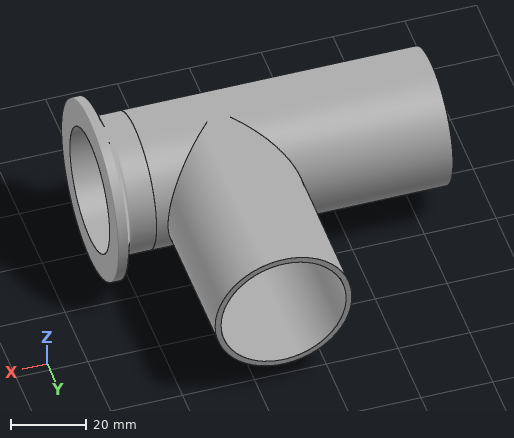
import cadquery as cq
import math

tube_diameter = 38.1
bore_diameter = 34.8
leg_length = 60.3
run_stub_length = 22.3

total_length = 95.1
ferrule_tube_diameter = 38.05
flange_diameter = 50.4
rim_width = 2.9
cone_angle = 20.0
neck_fillet = 1.2
rim_fillet = 0.3

tube_radius = tube_diameter / 2
bore_radius = bore_diameter / 2
neck_radius = ferrule_tube_diameter / 2
flange_radius = flange_diameter / 2
face_x = total_length - leg_length
rim_x = face_x - rim_width
cone_x = rim_x - (flange_radius - neck_radius) * math.tan(math.radians(cone_angle))


def rod_along_run(radius, length):
    """Solid rod along X that starts at the plain end of the run."""
    return cq.Workplane("YZ", origin=(-leg_length, 0, 0)).circle(radius).extrude(length)


def rod_along_branch(radius):
    """Solid rod along Y from the axis crossing to the plain end of the branch."""
    return cq.Workplane("XZ").circle(radius).extrude(-leg_length)


def circle_at(x):
    """Selector for the circular edge centred on the run axis at position x."""
    tolerance = 0.01
    size = flange_diameter
    return cq.selectors.BoxSelector(
        (x - tolerance, -size, -size), (x + tolerance, size, size), boundingbox=True
    )


def ferrule():
    """Solid ferrule: short tube, tapered flange back and rounded rim."""
    profile = (
        cq.Workplane("XY")
        .moveTo(run_stub_length, 0)
        .lineTo(run_stub_length, neck_radius)
        .lineTo(cone_x, neck_radius)
        .lineTo(rim_x, flange_radius)
        .lineTo(face_x, flange_radius)
        .lineTo(face_x, 0)
        .close()
    )
    body = profile.revolve(360, (0, 0, 0), (1, 0, 0))
    body = body.edges(circle_at(cone_x)).fillet(neck_fillet)
    for x in (rim_x, face_x):
        body = body.edges(circle_at(x)).fillet(rim_fillet)
    return body


run = rod_along_run(tube_radius, leg_length + run_stub_length)
outside = run.union(rod_along_branch(tube_radius)).union(ferrule())

run_bore = rod_along_run(bore_radius, total_length)
branch_bore = rod_along_branch(bore_radius)
result = outside.cut(run_bore).cut(branch_bore)